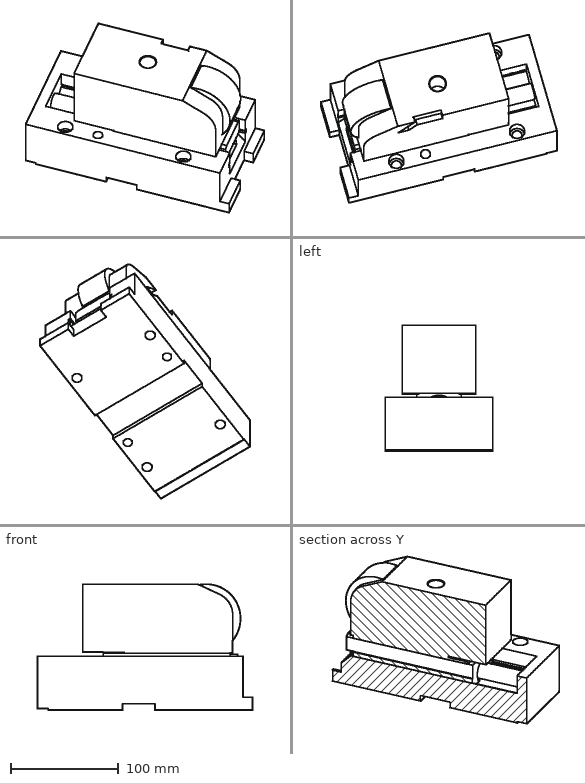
import cadquery as cq
import math


LENGTH = 200.0
BASE_WIDTH = 100.0
BASE_HEIGHT = 50.0
BASE_END = 191.0
FOOT_HEIGHT = 12.0
FOOT_NOTCH_WIDTH = 36.5
HEEL_LENGTH = 10.0
HEEL_RISE = 1.5
KEYWAY_START = 79.2
KEYWAY_WIDTH = 30.0
KEYWAY_DEPTH = 5.8

SLOT_START = 10.0
SLOT_WIDTH = 44.0
LIP_BOTTOM = 36.0
UNDERCUT_WIDTH = 48.5
UNDERCUT_FLOOR = 32.5
VEE_FLOOR_WIDTH = 22.5
VEE_ANGLE = 30.0
LEAD_IN = 11.0

HOLE_Y = 41.0
BOLT_X = (36.0, 152.0)
BOLT_DIAMETER = 9.2
COUNTERBORE_DIAMETER = 14.0
COUNTERBORE_DEPTH = 10.0
DOWEL_POINTS = ((68.0, -HOLE_Y), (124.0, HOLE_Y))
DOWEL_DIAMETER = 8.8
DOWEL_DEPTH = 24.0
DOWEL_THROUGH_DIAMETER = 8.2

TOP = 117.0
BLOCK_START = 42.2
BLOCK_END = 181.5
BLOCK_WIDTH = 68.5
BLOCK_BOTTOM = 53.0
RELIEF_END = 80.8
RELIEF_RISE = 0.8
NOSE_START = 148.8
NOSE_ANGLE = 25.0
NOSE_RADIUS = 21.0

NOTCH_START = 105.8
NOTCH_END = 132.2
NOTCH_FLOOR_END = 130.2
NOTCH_WIDTH = 5.5
NOTCH_FLOOR_DEPTH = 8.0
NOTCH_DEPTH = 16.0

LIFT_HOLE_POINT = (102.0, 2.5)
LIFT_HOLE_DIAMETER = 14.8
LIFT_HOLE_CHAMFER = 0.5
LIFT_HOLE_DEPTH = 24.0

NECK_START = 61.2
NECK_END = 179.0
NECK_WIDTH = 41.5
RUNNER_START = 56.0
RUNNER_WIDTH = 39.2
RELIEF_FILL_WIDTH = 37.2
LUG_START = 166.0
LUG_END = 186.0
LUG_TOP = 52.0
LUG_TOP_WIDTH = 32.5

ROLLER_RADIUS = 32.0
ROLLER_WIDTH = 30.0
ROLLER_X = 156.8
ROLLER_Z = TOP - ROLLER_RADIUS

ROD_RADIUS = 7.8
ROD_Z = 35.2
ROD_END = 120.0
ROD_BORE_RADIUS = 9.5
NECK_GROOVE_RADIUS = 15.8
NECK_GROOVE_CHAMFER = 0.8
NECK_GROOVE_LENGTH = 6.0


def box(x0, x1, width, z0, z1):
    """Box that is symmetric about the XZ plane."""
    size = (x1 - x0, width, z1 - z0)
    return cq.Workplane("XY").box(*size, centered=(False, True, False)).translate((x0, 0, z0))


def along_x(half_section, x0, x1):
    """Prism from x0 to x1; half_section lists the (y, z) corners on the +Y side, bottom to top."""
    mirrored = [(-y, z) for y, z in reversed(half_section)]
    return cq.Workplane("YZ", origin=(x0, 0, 0)).polyline(half_section + mirrored).close().extrude(x1 - x0)


def rod_cylinder(radius, x0, x1):
    """Cylinder on the axis of the guide rod."""
    return cq.Workplane("YZ", origin=(x0, 0, ROD_Z)).circle(radius).extrude(x1 - x0)


def hole(point, top, diameter, depth, chamfer=0.0):
    """Cutter for a vertical hole that starts at height top, with an optional 45 degree chamfer."""
    x, y = point
    radius = diameter / 2
    cutter = cq.Workplane("XY", origin=(x, y, top)).circle(radius).extrude(-depth)
    if chamfer:
        cone = cq.Solid.makeCone(radius + chamfer, radius, chamfer, cq.Vector(x, y, top), cq.Vector(0, 0, -1))
        cutter = cutter.union(cq.Workplane(cone))
    return cutter


def guide(x0, x1):
    """Wide lower part of the guide, under the lips, with its vee bottom."""
    slot_y = SLOT_WIDTH / 2
    floor_y = VEE_FLOOR_WIDTH / 2
    undercut_y = UNDERCUT_WIDTH / 2
    vee_floor = UNDERCUT_FLOOR - (slot_y - floor_y) * math.tan(math.radians(VEE_ANGLE))
    half_section = [
        (floor_y, vee_floor),
        (slot_y, UNDERCUT_FLOOR),
        (undercut_y, UNDERCUT_FLOOR),
        (undercut_y, LIP_BOTTOM),
    ]
    return along_x(half_section, x0, x1)


def make_base():
    base = box(0, BASE_END, BASE_WIDTH, 0, BASE_HEIGHT)
    foot = box(BASE_END, LENGTH, BASE_WIDTH, 0, FOOT_HEIGHT)
    base = base.union(foot)

    base = base.cut(box(BASE_END, LENGTH, FOOT_NOTCH_WIDTH, 0, FOOT_HEIGHT))
    base = base.cut(box(0, HEEL_LENGTH, BASE_WIDTH, 0, HEEL_RISE))
    base = base.cut(box(KEYWAY_START, KEYWAY_START + KEYWAY_WIDTH, BASE_WIDTH, 0, KEYWAY_DEPTH))

    base = base.cut(box(SLOT_START, BASE_END, SLOT_WIDTH, LIP_BOTTOM, BASE_HEIGHT))
    base = base.cut(guide(SLOT_START, BASE_END))
    lead_in_corners = [
        (BASE_END - LEAD_IN, UNDERCUT_FLOOR),
        (BASE_END, UNDERCUT_FLOOR),
        (BASE_END, UNDERCUT_FLOOR - LEAD_IN),
    ]
    lead_in = cq.Workplane("XZ").polyline(lead_in_corners).close().extrude(SLOT_WIDTH / 2, both=True)
    base = base.cut(lead_in)

    for x in BOLT_X:
        for y in (-HOLE_Y, HOLE_Y):
            base = base.cut(hole((x, y), BASE_HEIGHT, BOLT_DIAMETER, BASE_HEIGHT))
            base = base.cut(hole((x, y), BASE_HEIGHT, COUNTERBORE_DIAMETER, COUNTERBORE_DEPTH))
    for point in DOWEL_POINTS:
        base = base.cut(hole(point, BASE_HEIGHT, DOWEL_THROUGH_DIAMETER, BASE_HEIGHT))
        base = base.cut(hole(point, BASE_HEIGHT, DOWEL_DIAMETER, DOWEL_DEPTH))
    return base


def block_body():
    """Upper block with a sloped and rounded nose and a relieved underside."""
    slope = math.radians(NOSE_ANGLE)
    arc_x = BLOCK_END - NOSE_RADIUS
    tangent_x = arc_x + NOSE_RADIUS * math.sin(slope)
    tangent_z = TOP - (tangent_x - NOSE_START) * math.tan(slope)
    arc_z = tangent_z - NOSE_RADIUS * math.cos(slope)
    middle = (slope + math.pi / 2) / 2
    arc_middle = (arc_x + NOSE_RADIUS * math.sin(middle), arc_z + NOSE_RADIUS * math.cos(middle))
    relief_z = BLOCK_BOTTOM + RELIEF_RISE
    return (
        cq.Workplane("XZ")
        .moveTo(BLOCK_START, relief_z)
        .lineTo(BLOCK_START, TOP)
        .lineTo(NOSE_START, TOP)
        .lineTo(tangent_x, tangent_z)
        .threePointArc(arc_middle, (BLOCK_END, arc_z))
        .lineTo(BLOCK_END, BLOCK_BOTTOM)
        .lineTo(RELIEF_END, BLOCK_BOTTOM)
        .lineTo(RELIEF_END, relief_z)
        .close()
        .extrude(BLOCK_WIDTH / 2, both=True)
    )


def edge_notch():
    """Cutter for the notch in the +Y top edge; its end wall and the end of its floor lean at 45 degrees."""
    drop = NOTCH_DEPTH - NOTCH_FLOOR_DEPTH
    corners = [
        (NOTCH_START, TOP),
        (NOTCH_END, TOP),
        (NOTCH_END + NOTCH_DEPTH, TOP - NOTCH_DEPTH),
        (NOTCH_FLOOR_END + drop, TOP - NOTCH_DEPTH),
        (NOTCH_FLOOR_END, TOP - NOTCH_FLOOR_DEPTH),
        (NOTCH_START, TOP - NOTCH_FLOOR_DEPTH),
    ]
    return cq.Workplane("XZ", origin=(0, BLOCK_WIDTH / 2, 0)).polyline(corners).close().extrude(NOTCH_WIDTH)


def neck_groove():
    """Cutter for the chamfered round groove in the -X end of the neck, above the base."""
    outer_radius = NECK_GROOVE_RADIUS + NECK_GROOVE_CHAMFER
    end_point = cq.Vector(NECK_START, 0, ROD_Z)
    inward = cq.Vector(1, 0, 0)
    cone = cq.Solid.makeCone(outer_radius, NECK_GROOVE_RADIUS, NECK_GROOVE_CHAMFER, end_point, inward)
    groove = rod_cylinder(NECK_GROOVE_RADIUS, NECK_START, NECK_START + NECK_GROOVE_LENGTH)
    above_base = box(NECK_START, NECK_END, NECK_WIDTH, BASE_HEIGHT, TOP)
    return groove.union(cq.Workplane(cone)).intersect(above_base)


def lug():
    """Bar with sloped top edges at the +X end of the runner."""
    top_y = LUG_TOP_WIDTH / 2
    side_y = RUNNER_WIDTH / 2
    shoulder_z = LUG_TOP - (side_y - top_y) * math.tan(math.radians(VEE_ANGLE))
    half_section = [(side_y, LIP_BOTTOM), (side_y, shoulder_z), (top_y, LUG_TOP)]
    return along_x(half_section, LUG_START, LUG_END)


def make_slide(roller):
    slide = block_body()
    slide = slide.cut(edge_notch())
    slide = slide.cut(hole(LIFT_HOLE_POINT, TOP, LIFT_HOLE_DIAMETER, LIFT_HOLE_DEPTH, LIFT_HOLE_CHAMFER))

    slide = slide.union(box(NECK_START, NECK_END, NECK_WIDTH, BASE_HEIGHT, BLOCK_BOTTOM))
    relief_z = BLOCK_BOTTOM + RELIEF_RISE
    slide = slide.union(box(NECK_START, RELIEF_END, RELIEF_FILL_WIDTH, BASE_HEIGHT, relief_z))
    slide = slide.union(box(RUNNER_START, NECK_END, RUNNER_WIDTH, LIP_BOTTOM, BASE_HEIGHT))
    slide = slide.union(guide(RUNNER_START, NECK_END))
    slide = slide.union(lug())

    slide = slide.cut(neck_groove())
    slide = slide.cut(rod_cylinder(ROD_BORE_RADIUS, RUNNER_START, ROD_END))
    return slide.cut(roller)


def make_roller():
    start_point = (ROLLER_X, ROLLER_WIDTH / 2, ROLLER_Z)
    return cq.Workplane("XZ", origin=start_point).circle(ROLLER_RADIUS).extrude(ROLLER_WIDTH)


def make_rod():
    """Rod from the closed end of the slot to the bottom of its bore in the slide."""
    return rod_cylinder(ROD_RADIUS, SLOT_START, ROD_END)


roller = make_roller()
rod = make_rod()
slide = make_slide(roller)
base = make_base()
bodies = (base, slide, roller, rod)

result = cq.Compound.makeCompound([body.solids().val() for body in bodies])